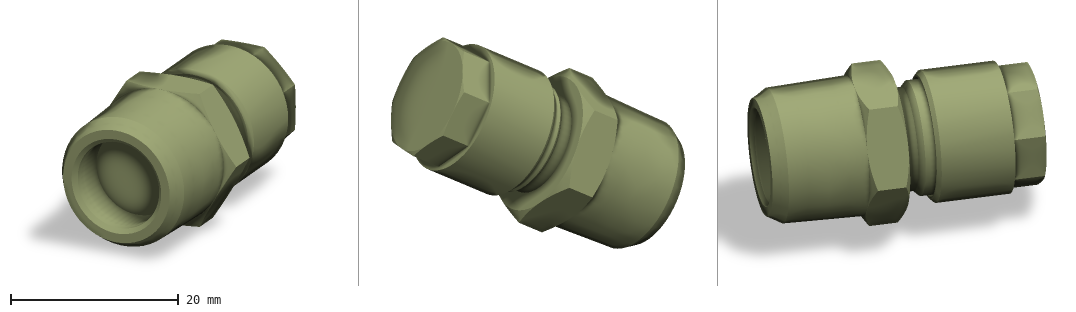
import cadquery as cq
import math

thread_chamfer_end = 1.78
hex_start = 11.52
hex_end = 16.5
neck_end = 18.02
collar_start = 18.73
nut_start = 19.95
nut_end = 29.48
total_length = 33.5

thread_tip_radius = 7.15
thread_front_radius = 8.17
thread_root_radius = 8.48
neck_radius = 6.25
collar_radius = 6.97
nut_radius = 8.0
nut_chamfer = 0.5

clearance_radius = 7.2
clearance_depth = 0.5

bore_radius = 5.45
bore_mouth_radius = 6.0
bore_chamfer_depth = 0.55
bore_depth = 5.45

hex_across_flats = 17.0
octagon_across_flats = 13.95
hex_chamfer_angle = 30.0
octagon_chamfer_angle = 20.0


def revolve_profile(points):
    """Revolve a closed (radius, station) outline about the Y axis."""
    return cq.Workplane("XY").polyline(points).close().revolve(360, (0, 0, 0), (0, 1, 0))


def prism(sides, across_flats, start, end, turn):
    """Regular prism along +Y, turned about its axis by the given angle."""
    corner_diameter = across_flats / math.cos(math.pi / sides)
    body = cq.Workplane("XZ", origin=(0, start, 0)).polygon(sides, corner_diameter).extrude(start - end)
    return body.rotate((0, 0, 0), (0, 1, 0), turn)


def chamfer_depth(flat_radius, corner_radius, angle):
    """Axial length of a conical chamfer that starts at the inscribed circle."""
    return (corner_radius - flat_radius) * math.tan(math.radians(angle))


def make_hexagon():
    sides = 6
    flat_radius = hex_across_flats / 2
    corner_radius = flat_radius / math.cos(math.pi / sides)
    depth = chamfer_depth(flat_radius, corner_radius, hex_chamfer_angle)
    envelope = revolve_profile([
        (0, hex_start),
        (flat_radius, hex_start),
        (corner_radius, hex_start + depth),
        (corner_radius, hex_end - depth),
        (flat_radius, hex_end),
        (0, hex_end),
    ])
    return prism(sides, hex_across_flats, hex_start, hex_end, 0).intersect(envelope)


def make_octagon():
    sides = 8
    flat_radius = octagon_across_flats / 2
    corner_radius = flat_radius / math.cos(math.pi / sides)
    depth = chamfer_depth(flat_radius, corner_radius, octagon_chamfer_angle)
    envelope = revolve_profile([
        (0, nut_end),
        (corner_radius, nut_end),
        (corner_radius, total_length - depth),
        (flat_radius, total_length),
        (0, total_length),
    ])
    half_step = 180 / sides
    return prism(sides, octagon_across_flats, nut_end, total_length, half_step).intersect(envelope)


turned_body = revolve_profile([
    (0, 0),
    (thread_tip_radius, 0),
    (thread_front_radius, thread_chamfer_end),
    (thread_root_radius, hex_start),
    (neck_radius, hex_start),
    (neck_radius, neck_end),
    (collar_radius, collar_start),
    (collar_radius, nut_start + clearance_depth),
    (clearance_radius, nut_start + clearance_depth),
    (clearance_radius, nut_start),
    (nut_radius - nut_chamfer, nut_start),
    (nut_radius, nut_start + nut_chamfer),
    (nut_radius, nut_end),
    (0, nut_end),
])

bore = revolve_profile([
    (0, 0),
    (bore_mouth_radius, 0),
    (bore_radius, bore_chamfer_depth),
    (bore_radius, bore_depth),
    (0, bore_depth),
])

result = turned_body.union(make_hexagon()).union(make_octagon()).cut(bore)